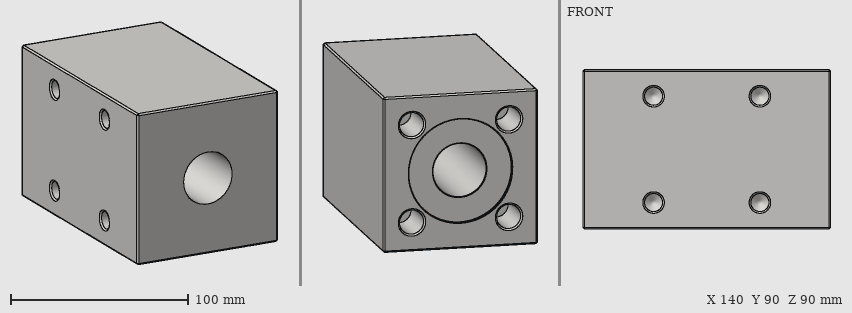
import cadquery as cq
import math

length = 140.0
width = 90.0
edge_chamfer = 1.0

bore_diameter = 31.0
bore_edge_chamfer = 0.4
recess_diameter = 60.0
recess_depth = 2.0

end_hole_diameter = 14.0
end_hole_depth = 30.0
end_hole_spacing = 56.5

side_hole_diameter = 10.2
side_hole_depth = 25.0
side_hole_spacing = 60.0
drill_point_angle = 118.0

hole_chamfer = 1.0


def hole_cutter(diameter, depth, chamfer, tip_height=0.0):
    """Hole of revolution about Z, opening at Z = 0 and running towards -Z."""
    radius = diameter / 2
    profile = (
        cq.Workplane("XZ")
        .moveTo(0, 0)
        .lineTo(radius + chamfer, 0)
        .lineTo(radius, -chamfer)
        .lineTo(radius, -depth)
        .lineTo(0, -depth - tip_height)
        .close()
    )
    return profile.revolve(360.0, (0, 0, 0), (0, 1, 0)).val()


def cut_square_pattern(body, face, spacing, cutter):
    """Cut four holes at the corners of a square centred on the face."""
    pattern = (
        body.faces(face)
        .workplane(centerOption="CenterOfBoundBox")
        .rect(spacing, spacing, forConstruction=True)
        .vertices()
    )
    return pattern.cutEach(lambda location: cutter.moved(location), useLocalCoords=True)


result = cq.Workplane("XY").box(length, width, width).edges().chamfer(edge_chamfer)

end_cutter = hole_cutter(end_hole_diameter, end_hole_depth, hole_chamfer)
result = cut_square_pattern(result, "<X", end_hole_spacing, end_cutter)

drill_tip_height = side_hole_diameter / 2 / math.tan(math.radians(drill_point_angle / 2))
side_cutter = hole_cutter(side_hole_diameter, side_hole_depth, hole_chamfer, drill_tip_height)
result = cut_square_pattern(result, "<Y", side_hole_spacing, side_cutter)

recess_plane = cq.Plane(origin=(-length / 2, 0, 0), normal=(-1, 0, 0))
recess_cutter = hole_cutter(recess_diameter, recess_depth, bore_edge_chamfer)
result = result.cut(cq.Workplane(recess_cutter.moved(recess_plane.location)))

bore_plane = cq.Plane(origin=(-length / 2 + recess_depth, 0, 0), normal=(-1, 0, 0))
bore_cutter = hole_cutter(bore_diameter, length - recess_depth, bore_edge_chamfer)
result = result.cut(cq.Workplane(bore_cutter.moved(bore_plane.location)))